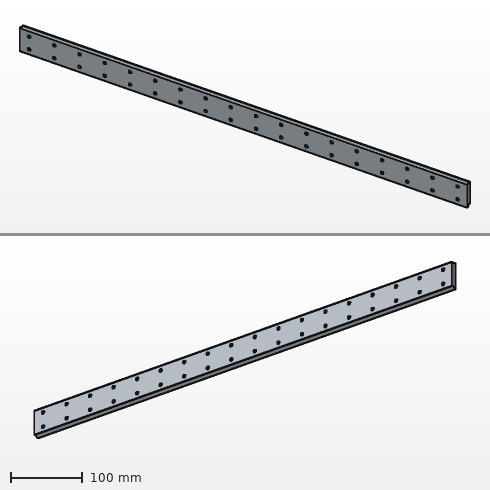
import cadquery as cq
import math

length = 710.0
thickness = 9.5
height = 42.0

hole_diameter = 4.5
hole_pitch = 40.0
holes_per_row = 18
hole_row_spacing = 23.0
row_count = 2

crest_y = -1.6
valley_y = 2.2
gentle_angle = 35.0
steep_angle = 46.0
lip_drop = 1.5
crest_radius = 2.5
valley_radius = 1.5

front_y = -thickness / 2
back_y = thickness / 2
edge_z = height / 2
lip_z = edge_z - lip_drop
valley_z = edge_z - (valley_y - crest_y) * math.tan(math.radians(gentle_angle))
lip_y = valley_y + (lip_z - valley_z) / math.tan(math.radians(steep_angle))


def round_lengthwise_edges(body, y, z, radius):
    """Fillet the lengthwise edges at (y, z) and (y, -z)."""
    for edge_height in (z, -z):
        point = (0, y, edge_height)
        body = body.edges(cq.selectors.NearestToPointSelector(point)).fillet(radius)
    return body


def grooved_plate():
    """Extrude the plate's cross-section along X, then round the grooves."""
    upper_half = [
        (front_y, edge_z),
        (crest_y, edge_z),
        (valley_y, valley_z),
        (lip_y, lip_z),
        (back_y, lip_z),
    ]
    lower_half = [(y, -z) for y, z in reversed(upper_half)]
    section = cq.Workplane("YZ").polyline(upper_half + lower_half).close()
    body = section.extrude(length / 2, both=True)
    body = round_lengthwise_edges(body, crest_y, edge_z, crest_radius)
    return round_lengthwise_edges(body, valley_y, valley_z, valley_radius)


def mounting_holes():
    """Cylinders that pass through the plate along Y."""
    return (
        cq.Workplane("XZ")
        .rarray(hole_pitch, hole_row_spacing, holes_per_row, row_count)
        .circle(hole_diameter / 2)
        .extrude(thickness, both=True)
    )


result = grooved_plate().cut(mounting_holes())